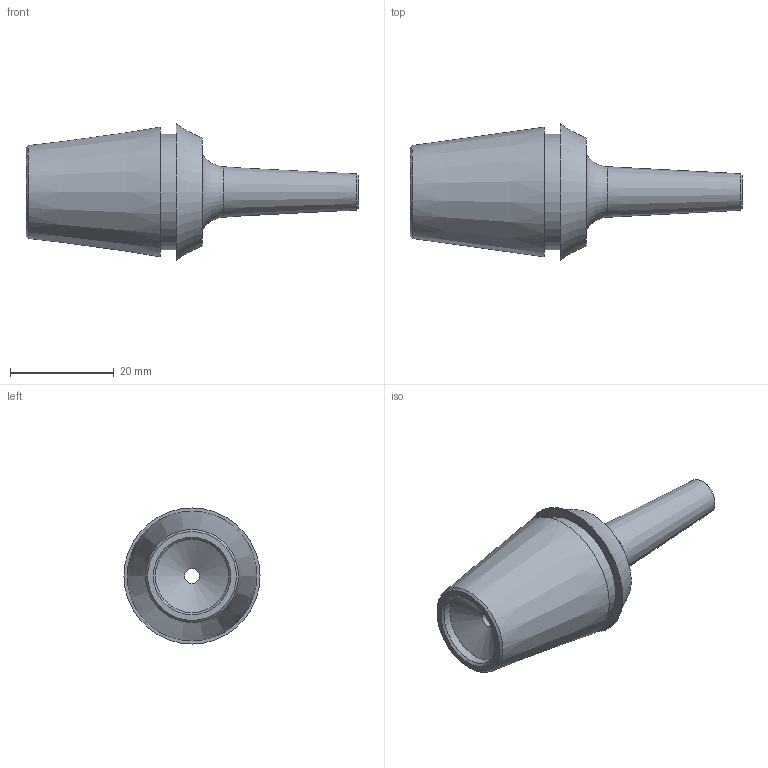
import cadquery as cq
import math

taper_end_x = 25.9
flange_start_x = 29.0
flange_end_x = 34.0
total_length = 64.0

front_radius = 8.96
front_chamfer = 0.4
head_rim_radius = 12.5
groove_radius = 11.1
flange_radius = 13.115
flange_back_radius = 10.4
flange_hollow = 0.18

spindle_half_angle = math.radians(3)
spindle_start_x = 38.0
spindle_start_radius = 4.87
spindle_tip_chamfer = 0.3
blend_radius = 5.0

bore_radius = 7.05
bore_chamfer = 0.4
bore_depth = 2.0
through_hole_radius = 1.45
funnel_half_angle = math.radians(60)


def blend_point(x):
    """Point at x on the blend arc, which is tangent to the spindle cone."""
    center_x = spindle_start_x + blend_radius * math.sin(spindle_half_angle)
    center_r = spindle_start_radius + blend_radius * math.cos(spindle_half_angle)
    return x, center_r - math.sqrt(blend_radius**2 - (x - center_x) ** 2)


def chord_sag_point(start, end, sag):
    """Point below the middle of a chord that runs in +X, offset by sag towards the axis."""
    run = end[0] - start[0]
    rise = end[1] - start[1]
    length = math.hypot(run, rise)
    mid_x = (start[0] + end[0]) / 2
    mid_r = (start[1] + end[1]) / 2
    return mid_x + sag * rise / length, mid_r - sag * run / length


def revolve_about_x(profile):
    return profile.close().revolve(360, (0, 0, 0), (1, 0, 0))


def make_body():
    blend_middle_x = (flange_end_x + spindle_start_x) / 2
    chamfer_x = total_length - spindle_tip_chamfer
    tip_radius = spindle_start_radius - (chamfer_x - spindle_start_x) * math.tan(spindle_half_angle)
    flange_edge = (flange_start_x, flange_radius)
    flange_back = (flange_end_x, flange_back_radius)
    profile = (
        cq.Workplane("XY")
        .moveTo(0, 0)
        .lineTo(0, front_radius - front_chamfer)
        .lineTo(front_chamfer, front_radius)
        .lineTo(taper_end_x, head_rim_radius)
        .lineTo(taper_end_x, groove_radius)
        .lineTo(flange_start_x, groove_radius)
        .lineTo(*flange_edge)
        .threePointArc(chord_sag_point(flange_edge, flange_back, flange_hollow), flange_back)
        .lineTo(*blend_point(flange_end_x))
        .threePointArc(blend_point(blend_middle_x), blend_point(spindle_start_x))
        .lineTo(chamfer_x, tip_radius)
        .lineTo(total_length, tip_radius - spindle_tip_chamfer)
        .lineTo(total_length, 0)
    )
    return revolve_about_x(profile)


def make_bore():
    """Chamfered mouth, short cylinder, funnel and a hole along the whole spindle."""
    funnel_end_x = bore_depth + (bore_radius - through_hole_radius) / math.tan(funnel_half_angle)
    profile = (
        cq.Workplane("XY")
        .moveTo(0, 0)
        .lineTo(0, bore_radius + bore_chamfer)
        .lineTo(bore_chamfer, bore_radius)
        .lineTo(bore_depth, bore_radius)
        .lineTo(funnel_end_x, through_hole_radius)
        .lineTo(total_length, through_hole_radius)
        .lineTo(total_length, 0)
    )
    return revolve_about_x(profile)


result = make_body().cut(make_bore())